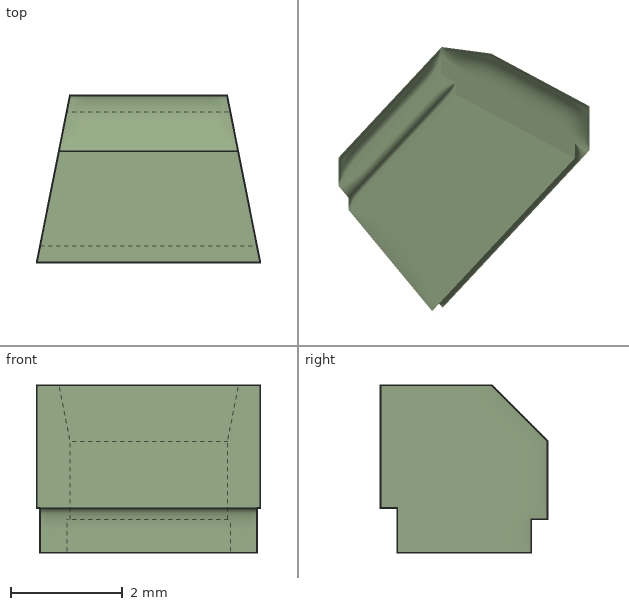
import cadquery as cq
import math

front_width = 4.0
depth = 2.99
height = 3.0

side_angle = 11.25

bevel = 1.0

foot_front_inset = 0.3
foot_front_height = 0.8
foot_back_inset = 0.29
foot_back_height = 0.6


def make_profile_block():
    """Side profile in the YZ plane, extruded over the full front width."""
    profile = [
        (foot_front_inset, 0),
        (depth - foot_back_inset, 0),
        (depth - foot_back_inset, foot_back_height),
        (depth, foot_back_height),
        (depth, height - bevel),
        (depth - bevel, height),
        (0, height),
        (0, foot_front_height),
        (foot_front_inset, foot_front_height),
    ]
    return cq.Workplane("YZ").polyline(profile).close().extrude(front_width / 2, both=True)


def make_wedge():
    """Symmetric trapezoid in plan, wide at the front, over the full height."""
    front_half = front_width / 2
    back_half = front_half - depth * math.tan(math.radians(side_angle))
    plan = [
        (-front_half, 0),
        (front_half, 0),
        (back_half, depth),
        (-back_half, depth),
    ]
    return cq.Workplane("XY").polyline(plan).close().extrude(height)


result = make_profile_block().intersect(make_wedge())